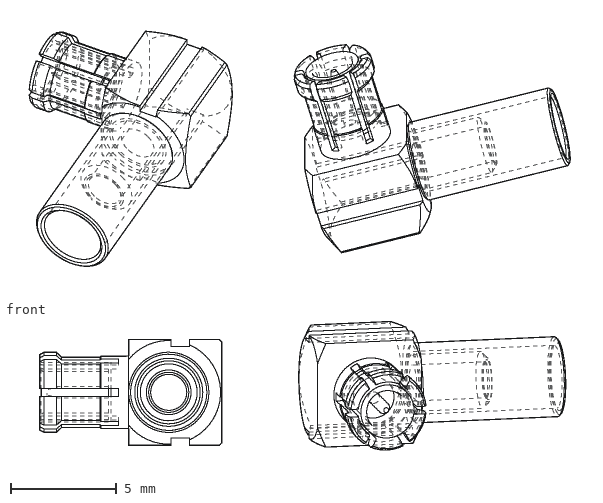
import cadquery as cq
import math


body_size = 5.0
body_half = body_size / 2
body_length = 4.4
tube_radius = 1.9
body_left = -tube_radius
body_right = body_left + body_length
edge_chamfer = 0.12
turned_radius = 2.45
turned_angle = math.radians(30)
groove_left = 0.11
groove_width = 0.86
groove_depth = 0.34

overall_length_y = 12.0
tube_length = overall_length_y - body_size
tube_end = -body_half - tube_length
tube_chamfer = 0.1
tube_bore_radius = 1.49
tube_bore_chamfer = 0.12

stem_radius = 1.35
stem_length = 3.6
stem_tip_radius = 1.05
stem_bore_radius = 0.85
stem_bore_chamfer = 0.1

overall_length_x = 8.6
interface_length = overall_length_x - body_length
tip_x = body_left - interface_length
lip_tip_radius = 1.79
lip_radius = 1.9
lip_chamfer_length = 0.2
lip_length = 0.79
lip_taper_end = 1.03
neck_radius = 1.67
neck_end = 2.85
shank_radius = 1.72
shank_start = 2.9
finger_inner_radius = 1.4
finger_inner_rounding = 0.15
slot_width = 0.37
slot_length = 3.73
slot_count = 6

sleeve_start = 0.07
sleeve_radius = 1.28
seat_radius = finger_inner_radius
seat_taper_start = 3.24
sleeve_bore_radius = 0.98
sleeve_bore_rounding = 0.11
sleeve_bore_depth = 3.24

pin_radius = 0.28
pin_tip_radius = 0.12
pin_start = 0.35
pin_tip_length = 0.54


def turned_x(profile, mouth_rounding=0):
    """Revolve (distance from tip, radius) points about the X axis.

    The first point is the mouth of a bore; mouth_rounding rounds that edge.
    """
    points = [(tip_x + distance, radius) for distance, radius in profile]
    solid = cq.Workplane("XY").polyline(points).close().revolve(360, (0, 0), (1, 0))
    if mouth_rounding:
        solid = solid.faces("<X").edges(cq.selectors.RadiusNthSelector(0)).fillet(mouth_rounding)
    return solid


def turned_y(profile):
    """Revolve (radius, y) points about the Y axis."""
    return cq.Workplane("XY").polyline(profile).close().revolve(360, (0, 0), (0, 1))


def make_body():
    block = cq.Workplane("XY").box(body_length, body_size, body_size)
    block = block.translate(((body_left + body_right) / 2, 0, 0))
    block = block.edges("|Y and >X").chamfer(edge_chamfer)

    blank_radius = body_size
    cone_depth = (blank_radius - turned_radius) * math.tan(turned_angle)
    shoulder = body_half - cone_depth
    blank = turned_y([
        (0, -body_half),
        (turned_radius, -body_half),
        (blank_radius, -shoulder),
        (blank_radius, shoulder),
        (turned_radius, body_half),
        (0, body_half),
    ])
    block = block.intersect(blank)

    groove_x = groove_left + groove_width / 2
    for side in (1, -1):
        groove = cq.Workplane("XY").box(groove_width, body_size, 2 * groove_depth)
        block = block.cut(groove.translate((groove_x, 0, side * body_half)))
    return block


def make_tube():
    return turned_y([
        (tube_bore_radius, -body_half),
        (tube_radius - tube_chamfer, -body_half),
        (tube_radius, -body_half - tube_chamfer),
        (tube_radius, tube_end + tube_chamfer),
        (tube_radius - tube_chamfer, tube_end),
        (tube_bore_radius + tube_bore_chamfer, tube_end),
        (tube_bore_radius, tube_end + tube_bore_chamfer),
    ])


def make_stem():
    stem_end = -body_half - stem_length
    taper = stem_radius - stem_tip_radius
    return turned_y([
        (stem_bore_radius, -body_half),
        (stem_radius, -body_half),
        (stem_radius, stem_end + taper),
        (stem_tip_radius, stem_end),
        (stem_bore_radius + stem_bore_chamfer, stem_end),
        (stem_bore_radius, stem_end + stem_bore_chamfer),
    ])


def make_contact_ring():
    ring = turned_x([
        (0, finger_inner_radius),
        (0, lip_tip_radius),
        (lip_chamfer_length, lip_radius),
        (lip_length, lip_radius),
        (lip_taper_end, neck_radius),
        (neck_end, neck_radius),
        (shank_start, shank_radius),
        (interface_length, shank_radius),
        (interface_length, finger_inner_radius),
    ], finger_inner_rounding)
    slot = cq.Workplane("XY").box(slot_length, lip_radius, slot_width)
    slot_center_radius = (lip_radius + finger_inner_radius) / 2
    slot = slot.translate((tip_x + slot_length / 2, slot_center_radius, 0))
    for index in range(slot_count):
        angle = index * 360 / slot_count
        ring = ring.cut(slot.rotate((0, 0, 0), (1, 0, 0), angle))
    return ring


def make_sleeve():
    seat_start = seat_taper_start + seat_radius - sleeve_radius
    return turned_x([
        (sleeve_start, sleeve_bore_radius),
        (sleeve_start, sleeve_radius),
        (seat_taper_start, sleeve_radius),
        (seat_start, seat_radius),
        (interface_length, seat_radius),
        (interface_length, 0),
        (sleeve_bore_depth, 0),
        (sleeve_bore_depth, sleeve_bore_radius),
    ], sleeve_bore_rounding)


def make_pin():
    return turned_x([
        (pin_start, 0),
        (pin_start, pin_tip_radius),
        (pin_start + pin_tip_length, pin_radius),
        (interface_length, pin_radius),
        (interface_length, 0),
    ])


result = make_body()
for part in (make_tube(), make_stem(), make_contact_ring(), make_sleeve(), make_pin()):
    result = result.union(part)